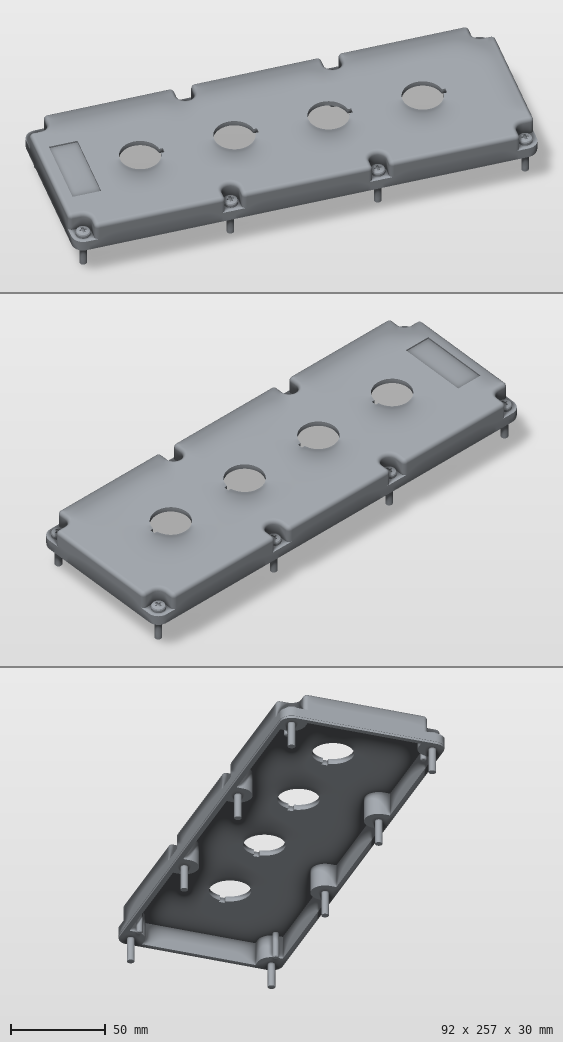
import cadquery as cq
import math

WIDTH = 92.02
LENGTH = 257.0
HEIGHT = 30.01

COVER_HEIGHT = 15.0
WALL = 3.0
CORNER_RADIUS = 6.5
EDGE_FILLET = 2.25
COVER_BOTTOM = HEIGHT - COVER_HEIGHT

GASKET_HEIGHT = 1.2
GASKET_INSET = 0.2
RIM_BOTTOM = COVER_BOTTOM - GASKET_HEIGHT

SCREW_INSET = 6.5
SCREW_ROWS = 4
SCREW_X = WIDTH / 2 - SCREW_INSET
SCREW_END_Y = LENGTH / 2 - SCREW_INSET
SCREW_PITCH = 2 * SCREW_END_Y / (SCREW_ROWS - 1)
SHANK_DIAMETER = 4.0
HEAD_DIAMETER = 8.0
HEAD_RIM_HEIGHT = 1.6
DOME_DIAMETER = 7.2
DOME_BASE = 2.3
HEAD_HEIGHT = 3.0
RECESS_LENGTH = 4.0
SLOT_WIDTH = 1.5
CROSS_WIDTH = 0.9
RECESS_DEPTH = 1.2

POCKET_RADIUS = 4.75
POCKET_DEPTH = 10.0
POCKET_FLOOR = HEIGHT - POCKET_DEPTH
BOSS_RADIUS = POCKET_RADIUS + WALL

HOLE_COUNT = 4
HOLE_PITCH = 52.0
HOLE_DIAMETER = 22.3
KEY_WIDTH = 3.2
KEYED_LENGTH = 24.1
KEY_REACH = KEYED_LENGTH - HOLE_DIAMETER / 2

LABEL_WIDTH = 41.4
LABEL_LENGTH = 15.8
LABEL_Y = -114.0
LABEL_DEPTH = 1.0

PEG_DIAMETER = 3.4
PEG_PROTRUSION = 1.6
PEG_CHAMFER = 0.4
PEG_X = WIDTH / 2 - 7.8
PEG_Y = LENGTH / 2 - 16.4


def screw_positions():
    """Side (-1 or 1 along X), centre x and y, and end (-1, 0 or 1 along Y) of each screw."""
    positions = []
    for row in range(SCREW_ROWS):
        y = -SCREW_END_Y + row * SCREW_PITCH
        end = {0: -1, SCREW_ROWS - 1: 1}.get(row, 0)
        for side in (-1, 1):
            positions.append((side, side * SCREW_X, y, end))
    return positions


def rounded_block(inset, bottom, height):
    """Block with the cover outline, shrunk by inset."""
    return (
        cq.Workplane("XY", origin=(0, 0, bottom))
        .rect(WIDTH - 2 * inset, LENGTH - 2 * inset)
        .extrude(height)
        .edges("|Z")
        .fillet(CORNER_RADIUS - inset)
    )


def screw_zone(radius, side, x, y, end, bottom, height):
    """Round column at a screw, running straight out through the nearby outer sides."""
    reach = 2 * SCREW_INSET
    base = cq.Workplane("XY", origin=(x, y, bottom))
    zone = base.circle(radius).extrude(height)
    zone = zone.union(base.center(side * reach / 2, 0).rect(reach, 2 * radius).extrude(height))
    if end:
        zone = zone.union(base.center(0, end * reach / 2).rect(2 * radius, reach).extrude(height))
        corner = base.center(side * reach / 2, end * reach / 2).rect(reach, reach).extrude(height)
        zone = zone.union(corner)
    return zone


def make_upper_body():
    """Part of the cover above the pocket floors, with its rounded edges."""
    body = rounded_block(0, POCKET_FLOOR, POCKET_DEPTH)
    for side, x, y, end in screw_positions():
        body = body.cut(screw_zone(POCKET_RADIUS, side, x, y, end, POCKET_FLOOR, POCKET_DEPTH))

    mouth_points = []
    for side, x, y, end in screw_positions():
        for direction in (-1, 1):
            if direction != end:
                mouth_points.append((side * WIDTH / 2, y + direction * POCKET_RADIUS))
        if end:
            mouth_points.append((x - side * POCKET_RADIUS, end * LENGTH / 2))
    mid_height = POCKET_FLOOR + POCKET_DEPTH / 2
    mouth_edges = []
    for x, y in mouth_points:
        nearest = cq.selectors.NearestToPointSelector((x, y, mid_height))
        mouth_edges.append(body.edges(nearest).val())
    body = body.newObject(mouth_edges).fillet(EDGE_FILLET)
    return body.faces(">Z").edges().fillet(EDGE_FILLET)


def make_cavity():
    """Hollow inside of the cover, leaving solid bosses around the screws."""
    cavity_height = HEIGHT - WALL - RIM_BOTTOM
    cavity = rounded_block(WALL, RIM_BOTTOM, cavity_height)
    for side, x, y, end in screw_positions():
        cavity = cavity.cut(screw_zone(BOSS_RADIUS, side, x, y, end, RIM_BOTTOM, cavity_height))
    return cavity


def make_keyed_hole(y):
    """Round through hole with a key notch on its +Y side."""
    base = cq.Workplane("XY", origin=(0, y, RIM_BOTTOM))
    depth = HEIGHT - RIM_BOTTOM
    notch = base.center(0, KEY_REACH / 2).rect(KEY_WIDTH, KEY_REACH).extrude(depth)
    return base.circle(HOLE_DIAMETER / 2).extrude(depth).union(notch)


def make_label_recess():
    """Shallow rectangular recess for a label in the top face."""
    return (
        cq.Workplane("XY", origin=(0, LABEL_Y, HEIGHT - LABEL_DEPTH))
        .rect(LABEL_WIDTH, LABEL_LENGTH)
        .extrude(LABEL_DEPTH)
    )


def make_screw(x, y):
    """Screw with a chamfered, domed head and a cross recess."""
    head_radius = HEAD_DIAMETER / 2
    dome_edge = DOME_DIAMETER / 2
    dome_rise = HEAD_HEIGHT - DOME_BASE
    dome_arc_radius = (dome_edge**2 + dome_rise**2) / (2 * dome_rise)
    mid_x = dome_edge / 2
    mid_z = HEAD_HEIGHT - dome_arc_radius + math.sqrt(dome_arc_radius**2 - mid_x**2)
    screw = (
        cq.Workplane("XZ")
        .moveTo(0, -POCKET_FLOOR)
        .lineTo(SHANK_DIAMETER / 2, -POCKET_FLOOR)
        .lineTo(SHANK_DIAMETER / 2, 0)
        .lineTo(head_radius, 0)
        .lineTo(head_radius, HEAD_RIM_HEIGHT)
        .lineTo(dome_edge, DOME_BASE)
        .threePointArc((mid_x, mid_z), (0, HEAD_HEIGHT))
        .close()
        .revolve(360, (0, 0, 0), (0, 1, 0))
    )
    recess = cq.Workplane("XY", origin=(0, 0, HEAD_HEIGHT - RECESS_DEPTH))
    screw = screw.cut(recess.rect(RECESS_LENGTH, SLOT_WIDTH).extrude(RECESS_DEPTH))
    screw = screw.cut(recess.rect(CROSS_WIDTH, RECESS_LENGTH).extrude(RECESS_DEPTH))
    return screw.translate((x, y, POCKET_FLOOR))


def make_pegs():
    """Locating pegs: posts hanging from the roof of the cover to just below the rim."""
    peg_bottom = RIM_BOTTOM - PEG_PROTRUSION
    return (
        cq.Workplane("XY", origin=(0, 0, peg_bottom))
        .rect(2 * PEG_X, 2 * PEG_Y, forConstruction=True)
        .vertices()
        .circle(PEG_DIAMETER / 2)
        .extrude(HEIGHT - WALL - peg_bottom)
        .faces("<Z")
        .edges()
        .chamfer(PEG_CHAMFER)
    )


cover = rounded_block(0, COVER_BOTTOM, POCKET_FLOOR - COVER_BOTTOM)
cover = cover.union(make_upper_body())
cover = cover.union(rounded_block(GASKET_INSET, RIM_BOTTOM, GASKET_HEIGHT))
cover = cover.cut(make_cavity())
for index in range(HOLE_COUNT):
    cover = cover.cut(make_keyed_hole((index - (HOLE_COUNT - 1) / 2) * HOLE_PITCH))
cover = cover.cut(make_label_recess())
cover = cover.union(make_pegs())
for _, screw_x, screw_y, _ in screw_positions():
    cover = cover.union(make_screw(screw_x, screw_y))

result = cover